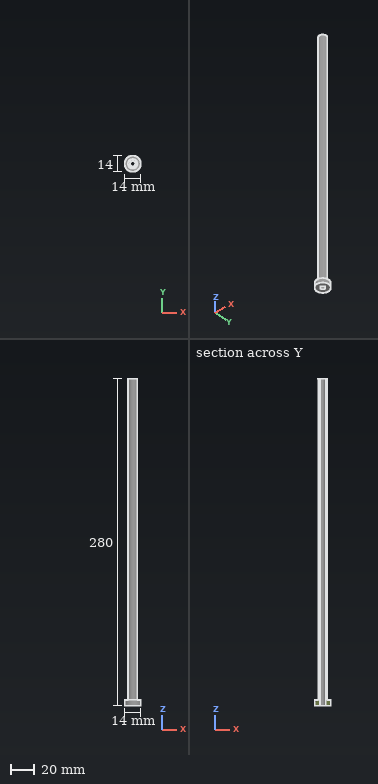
import cadquery as cq

total_length = 280.0
head_diameter = 14.0
head_height = 5.0
shank_diameter = 8.0
bore_diameter = 4.5
neck_fillet = 0.5

head = cq.Workplane("XY").circle(head_diameter / 2).extrude(head_height)
shank = cq.Workplane("XY").circle(shank_diameter / 2).extrude(total_length)
body = head.union(shank)

shank_edges = cq.selectors.RadiusNthSelector(0)
body = body.faces("<Z[1]").edges(shank_edges).fillet(neck_fillet)

bore = cq.Workplane("XY").circle(bore_diameter / 2).extrude(total_length)
result = body.cut(bore)